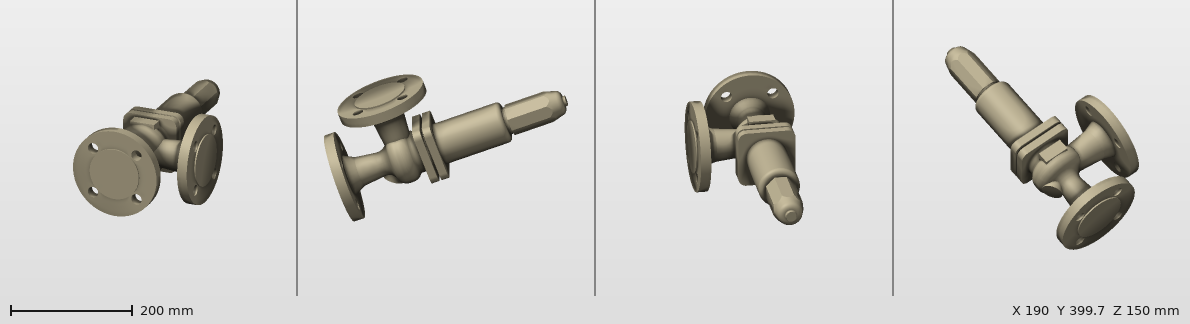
import cadquery as cq
import math


overall_length = 399.7
overall_width = 190.0

flange_diameter = 150.0
flange_radius = flange_diameter / 2
flange_thickness = 17.0
raised_face_radius = 44.0
raised_face_height = 2.5
face_distance = overall_width - flange_radius
bolt_hole_diameter = 18.5
bolt_circle_diameter = 110.0
bolt_count = 4
neck_distance = face_distance - raised_face_height - flange_thickness
flare_length = 18.0
flare_start = neck_distance - flare_length
flare_end_radius = 34.0

inlet_flare_radius = 25.0
inlet_throat_radius = 20.8
inlet_throat_y = -42.0

outlet_flare_radius = 27.5
outlet_root_radius = 20.0

body_radius = 44.8
body_band_top = 2.5
body_band_bottom = -3.5
shoulder_radius = 37.5
shoulder_y = 16.8
underside_radius = 33.5
underside_y = -20.5
collar_radius = 35.0
collar_bottom = 20.8
collar_top = 28.0
collar_flare = 3.0

square_side = 95.0
square_corner_radius = 13.0
body_flange_bottom = 32.0
body_flange_top = 45.0
bonnet_flange_bottom = 49.5
bonnet_flange_top = 62.8
gasket_radius = 41.5
gasket_thickness = 1.0
spigot_radius = 37.5

bonnet_radius = 34.8
bonnet_top = 179.5
bonnet_rounding = 7.5
thread_radius = 23.0
thread_relief_radius = 22.0
thread_relief_top = 182.3

cap_flats = 48.8
cap_sides = 8
cap_bottom = 185.5
cap_cone_base_y = 260.2
cap_dome_base_y = 273.0
cap_dome_base_radius = 20.8
cap_dome_top_y = 280.0
cap_dome_top_radius = 11.5
cap_top = overall_length - face_distance
knob_radius = 8.8
knob_fillet = 2.0

plate_width = 43.5
plate_bottom = 0.0
plate_top = 20.5
plate_base_z = 16.0
plate_face_z = 47.5

drain_radius = 17.5
drain_angle = 34.4
drain_face_center = (-32.0, -28.8)
drain_length = 32.0


def disc(radius, start, end):
    """Solid cylinder on the Y axis between two heights."""
    return cq.Workplane("XZ", origin=(0, start, 0)).circle(radius).extrude(start - end)


def pipe_flange():
    """Round flange with its raised face down, sealing at Z = 0."""
    ring = cq.Workplane("XY").workplane(offset=raised_face_height).circle(flange_radius)
    ring = ring.extrude(flange_thickness)
    ring = ring.faces(">Z").workplane().polarArray(
        bolt_circle_diameter / 2, 180 / bolt_count, 360, bolt_count
    ).hole(bolt_hole_diameter)
    face = cq.Workplane("XY").circle(raised_face_radius).extrude(raised_face_height)
    return ring.union(face)


def inlet_flange():
    return pipe_flange().rotate((0, 0, 0), (1, 0, 0), -90).translate((0, -face_distance, 0))


def outlet_flange():
    return pipe_flange().rotate((0, 0, 0), (0, 1, 0), -90).translate((face_distance, 0, 0))


def body_and_inlet():
    """Revolved inlet neck, bulb and collar."""
    return (
        cq.Workplane("XY")
        .moveTo(0, -neck_distance)
        .lineTo(flare_end_radius, -neck_distance)
        .lineTo(inlet_flare_radius, -flare_start)
        .lineTo(inlet_throat_radius, inlet_throat_y)
        .tangentArcPoint((underside_radius, underside_y), relative=False)
        .tangentArcPoint((body_radius, body_band_bottom), relative=False)
        .lineTo(body_radius, body_band_top)
        .tangentArcPoint((shoulder_radius, shoulder_y), relative=False)
        .tangentArcPoint((collar_radius, collar_bottom), relative=False)
        .lineTo(collar_radius, collar_top)
        .tangentArcPoint((collar_radius + collar_flare, body_flange_bottom), relative=False)
        .lineTo(0, body_flange_bottom)
        .close()
        .revolve(360, (0, 0, 0), (0, 1, 0))
    )


def outlet_neck():
    """Tapered outlet pipe ending in a flare."""
    return (
        cq.Workplane("XY")
        .lineTo(0, outlet_root_radius)
        .lineTo(flare_start, outlet_flare_radius)
        .lineTo(neck_distance, flare_end_radius)
        .lineTo(neck_distance, 0)
        .close()
        .revolve(360, (0, 0, 0), (1, 0, 0))
    )


def square_flange(bottom, top):
    height = top - bottom
    plate = cq.Workplane("XY").box(square_side, height, square_side)
    return plate.edges("|Y").fillet(square_corner_radius).translate((0, bottom + height / 2, 0))


def bonnet_joint():
    """Two square flanges with the gasket and spigot between them."""
    gasket_top = body_flange_top + gasket_thickness
    return (
        square_flange(body_flange_bottom, body_flange_top)
        .union(disc(gasket_radius, body_flange_top, gasket_top))
        .union(disc(spigot_radius, gasket_top, bonnet_flange_bottom))
        .union(square_flange(bonnet_flange_bottom, bonnet_flange_top))
    )


def bonnet():
    """Spring housing with a rounded top and the relieved thread neck."""
    housing = disc(bonnet_radius, bonnet_flange_top, bonnet_top)
    housing = housing.faces(">Y").edges().fillet(bonnet_rounding)
    relief = disc(thread_relief_radius, bonnet_top, thread_relief_top)
    thread = disc(thread_radius, thread_relief_top, cap_bottom)
    return housing.union(relief).union(thread)


def cap():
    """Octagonal cap trimmed by a cone and dome, with a small knob on top."""
    corner_radius = cap_flats / 2 / math.cos(math.pi / cap_sides)
    cone_slope = (cap_flats / 2 - cap_dome_base_radius) / (cap_dome_base_y - cap_cone_base_y)
    envelope_radius = cap_flats / 2 + cone_slope * (cap_cone_base_y - cap_bottom)
    prism = (
        cq.Workplane("XZ", origin=(0, cap_bottom, 0))
        .polygon(cap_sides, 2 * corner_radius)
        .extrude(cap_bottom - cap_dome_top_y)
        .rotate((0, 0, 0), (0, 1, 0), 180 / cap_sides)
    )
    envelope = (
        cq.Workplane("XY")
        .moveTo(0, cap_bottom)
        .lineTo(envelope_radius, cap_bottom)
        .lineTo(cap_dome_base_radius, cap_dome_base_y)
        .tangentArcPoint((cap_dome_top_radius, cap_dome_top_y), relative=False)
        .lineTo(0, cap_dome_top_y)
        .close()
        .revolve(360, (0, 0, 0), (0, 1, 0))
    )
    knob = (
        cq.Workplane("XY")
        .moveTo(0, cap_dome_top_y)
        .lineTo(knob_radius + knob_fillet, cap_dome_top_y)
        .radiusArc((knob_radius, cap_dome_top_y + knob_fillet), knob_fillet)
        .lineTo(knob_radius, cap_top)
        .lineTo(0, cap_top)
        .close()
        .revolve(360, (0, 0, 0), (0, 1, 0))
    )
    return prism.intersect(envelope).union(knob)


def name_plate():
    return cq.Workplane("XY").box(
        plate_width, plate_top - plate_bottom, plate_face_z - plate_base_z, centered=(True, False, False)
    ).translate((0, plate_bottom, plate_base_z))


def drain_boss():
    """Round boss running from its slanted face back into the body."""
    tilt = math.radians(drain_angle)
    inward = cq.Vector(math.cos(tilt), math.sin(tilt), 0)
    face_center = cq.Vector(*drain_face_center, 0)
    return cq.Workplane(cq.Solid.makeCylinder(drain_radius, drain_length, face_center, inward))


result = (
    body_and_inlet()
    .union(outlet_neck())
    .union(inlet_flange())
    .union(outlet_flange())
    .union(bonnet_joint())
    .union(bonnet())
    .union(cap())
    .union(name_plate())
    .union(drain_boss())
)